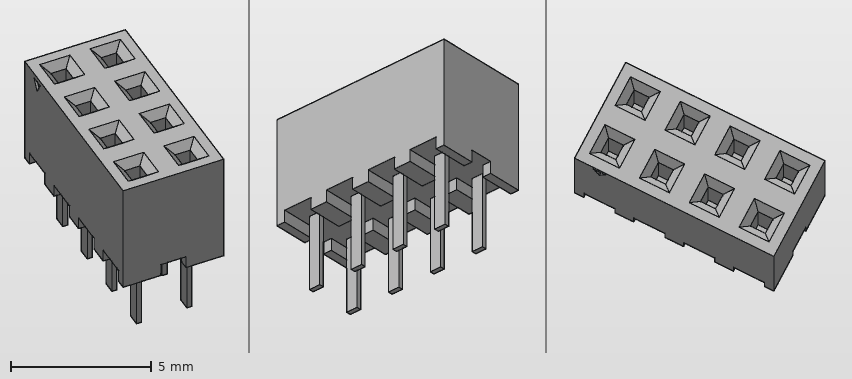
import cadquery as cq

columns = 4
rows = 2
pitch = 2.0
length = columns * pitch
width = rows * pitch
total_height = 7.1

pin_width = 0.5
pin_thickness = 0.2
pin_tail = 2.6

slot_depth = 0.5
cross_slot_width = 1.25
long_slot_width = 1.0

entry_size = 1.2
socket_size = 0.6
entry_depth = (entry_size - socket_size) / 2
socket_depth = 2.0

mark_width = pin_width
mark_height = 0.42
mark_top_gap = 0.21
mark_depth = 0.1

column_places = [(i - (columns - 1) / 2) * pitch for i in range(columns)]
row_places = [(i - (rows - 1) / 2) * pitch for i in range(rows)]
contact_places = [(x, y) for x in column_places for y in row_places]
slot_roof = pin_tail + slot_depth


def block(size_x, size_y, bottom, top):
    """Box centred on the Z axis between two heights."""
    return cq.Workplane("XY").workplane(offset=bottom).rect(size_x, size_y).extrude(top - bottom)


def make_housing():
    """Plain block with the crossing standoff slots cut from below."""
    housing = block(length, width, pin_tail, total_height)
    housing = housing.cut(block(length, long_slot_width, pin_tail, slot_roof))
    cross_slot = block(cross_slot_width, width, pin_tail, slot_roof)
    for x in column_places:
        housing = housing.cut(cross_slot.translate((x, 0, 0)))
    return housing


def make_socket():
    """Pyramid-shaped entry leading into a square blind hole."""
    entry = (
        cq.Workplane("XY")
        .workplane(offset=total_height)
        .rect(entry_size, entry_size)
        .workplane(offset=-entry_depth)
        .rect(socket_size, socket_size)
        .loft(ruled=True)
    )
    hole = block(socket_size, socket_size, total_height - socket_depth, total_height - entry_depth)
    return entry.union(hole)


def make_mark():
    """Downward-pointing triangle sunk into the -Y face over the first column."""
    x = column_places[0]
    top = total_height - mark_top_gap
    corners = [
        (x - mark_width / 2, top),
        (x + mark_width / 2, top),
        (x, top - mark_height),
    ]
    return cq.Workplane("XZ", origin=(0, -width / 2, 0)).polyline(corners).close().extrude(-mark_depth)


result = make_housing().cut(make_mark())
socket = make_socket()
pin = block(pin_width, pin_thickness, 0, slot_roof)
for x, y in contact_places:
    result = result.cut(socket.translate((x, y, 0)))
    result = result.union(pin.translate((x, y, 0)))